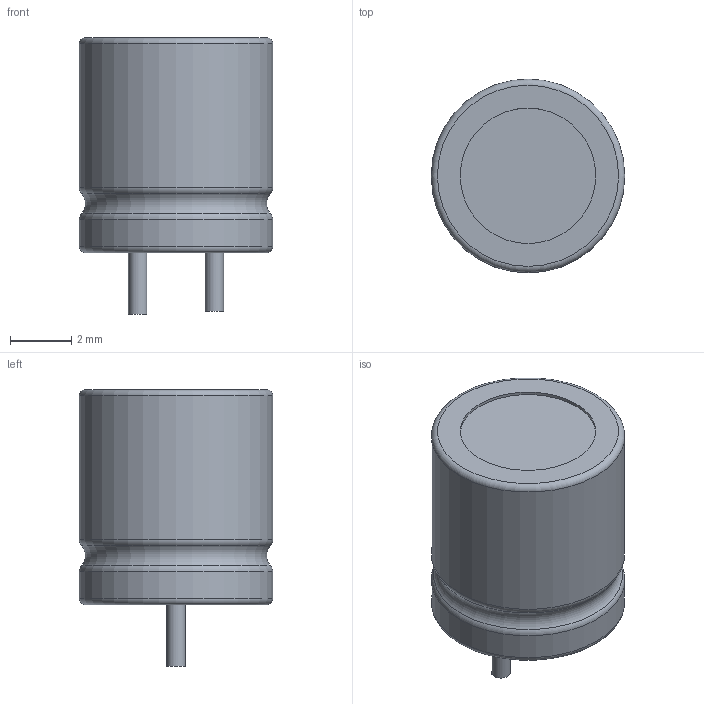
import cadquery as cq
import math

can_diameter = 6.3
can_height = 7.0
rim_radius = 0.2
can_radius = can_diameter / 2

groove_center_z = 1.6
groove_depth = 0.2
groove_arc_radius = 0.5
groove_blend_radius = 0.3

recess_diameter = 0.7 * can_diameter
recess_depth = 0.1

lead_diameter = 0.6
lead_pitch = 2.5
long_lead_length = 2.0
short_lead_length = 1.9


def make_can():
    """Revolve the half section of the can, including the crimp groove."""
    center_distance = groove_arc_radius + groove_blend_radius
    blend_angle = math.acos((center_distance - groove_depth) / center_distance)
    groove_half_width = center_distance * math.sin(blend_angle)
    neck_half_width = groove_arc_radius * math.sin(blend_angle)
    neck_radius = can_radius - groove_depth
    tangent_radius = neck_radius + groove_arc_radius * (1 - math.cos(blend_angle))

    blend_mid_inset = groove_blend_radius * (1 - math.cos(blend_angle / 2))
    blend_mid_rise = groove_blend_radius * math.sin(blend_angle / 2)
    blend_mid_radius = can_radius - blend_mid_inset
    blend_mid_offset = groove_half_width - blend_mid_rise

    section = (
        cq.Workplane("XZ")
        .lineTo(can_radius, 0)
        .lineTo(can_radius, groove_center_z - groove_half_width)
        .threePointArc(
            (blend_mid_radius, groove_center_z - blend_mid_offset),
            (tangent_radius, groove_center_z - neck_half_width),
        )
        .threePointArc(
            (neck_radius, groove_center_z),
            (tangent_radius, groove_center_z + neck_half_width),
        )
        .threePointArc(
            (blend_mid_radius, groove_center_z + blend_mid_offset),
            (can_radius, groove_center_z + groove_half_width),
        )
        .lineTo(can_radius, can_height)
        .lineTo(0, can_height)
        .close()
    )
    can = section.revolve(360, (0, 0), (0, 1))
    return can.faces("<Z or >Z").edges().fillet(rim_radius)


def cut_top_recess(can):
    """Sink the round recess into the top face."""
    top_plane = can.faces(">Z").workplane(origin=(0, 0, can_height))
    return top_plane.circle(recess_diameter / 2).cutBlind(-recess_depth)


def make_lead(center_x, length):
    """Round lead hanging down from the base of the can."""
    return cq.Workplane("XY").center(center_x, 0).circle(lead_diameter / 2).extrude(-length)


result = cut_top_recess(make_can())
result = result.union(make_lead(-lead_pitch / 2, long_lead_length))
result = result.union(make_lead(lead_pitch / 2, short_lead_length))